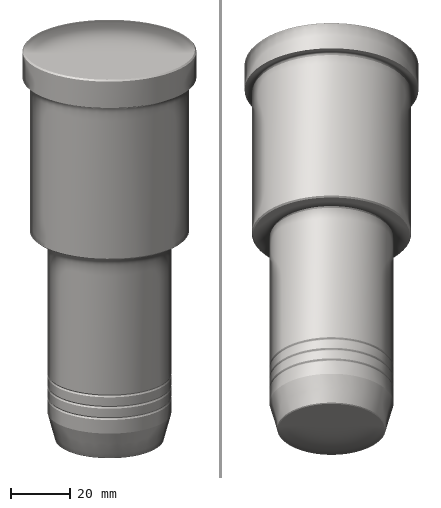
import cadquery as cq
import math

total_height = 141.0
flange_height = 10.0
body_height = 56.0
nose_height = 10.0
body_top = total_height - flange_height
body_bottom = body_top - body_height

flange_radius = 29.5
body_diameter = 54.0
body_radius = body_diameter / 2
pin_radius = 21.0
nose_tip_radius = 18.3

flange_chamfer = 0.5
body_chamfer = 0.5
tip_chamfer = 0.3

body_relief_height = 1.3
body_relief_fillet = 0.4
body_relief_depth = 0.5
pin_relief_height = 1.0
pin_relief_depth = 0.5

groove_count = 3
first_groove_bottom = 15.0
groove_pitch = 4.1
groove_width = 1.0
groove_depth = 0.35


def disc(radius, bottom, top):
    """Cylinder about the Z axis between two heights."""
    return cq.Workplane("XY").workplane(offset=bottom).circle(radius).extrude(top - bottom)


def ring_cut(outer_radius, depth, bottom, height):
    """Ring that removes the given depth from a cylinder's surface."""
    ring = cq.Workplane("XY").workplane(offset=bottom).circle(outer_radius)
    return ring.circle(outer_radius - depth).extrude(height)


def make_nose():
    """Cone that widens from the tip to the pin, with a broken tip edge."""
    cone = (
        cq.Workplane("XZ")
        .polyline([(0, 0), (nose_tip_radius, 0), (pin_radius, nose_height), (0, nose_height)])
        .close()
        .revolve(360, (0, 0, 0), (0, 1, 0))
    )
    return cone.faces("<Z").edges().chamfer(tip_chamfer)


def make_groove(bottom):
    """V-shaped ring that cuts a groove into the pin surface."""
    middle = bottom + groove_width / 2
    top = bottom + groove_width
    return (
        cq.Workplane("XZ")
        .polyline([(pin_radius, bottom), (pin_radius - groove_depth, middle), (pin_radius, top)])
        .close()
        .revolve(360, (0, 0, 0), (0, 1, 0))
    )


def make_pin():
    """Slender cylinder with ring grooves and an undercut at the shoulder."""
    pin = disc(pin_radius, nose_height, body_bottom)
    for index in range(groove_count):
        pin = pin.cut(make_groove(first_groove_bottom + index * groove_pitch))
    relief_bottom = body_bottom - pin_relief_height
    return pin.cut(ring_cut(pin_radius, pin_relief_depth, relief_bottom, pin_relief_height))


def make_body():
    """Thick cylinder with a chamfered lower edge and a filleted undercut below the flange."""
    relief_radius = body_radius - body_relief_depth
    relief_bottom = body_top - body_relief_height
    fillet_bottom = body_top - body_relief_fillet
    diagonal_gap = body_relief_fillet * (1 - math.sqrt(0.5))
    return (
        cq.Workplane("XZ")
        .moveTo(0, body_bottom)
        .lineTo(body_radius - body_chamfer, body_bottom)
        .lineTo(body_radius, body_bottom + body_chamfer)
        .lineTo(body_radius, relief_bottom)
        .lineTo(relief_radius, relief_bottom)
        .lineTo(relief_radius, fillet_bottom)
        .threePointArc(
            (relief_radius + diagonal_gap, body_top - diagonal_gap),
            (relief_radius + body_relief_fillet, body_top),
        )
        .lineTo(0, body_top)
        .close()
        .revolve(360, (0, 0, 0), (0, 1, 0))
    )


def make_flange():
    """Head disc with a chamfered top edge."""
    return disc(flange_radius, body_top, total_height).faces(">Z").edges().chamfer(flange_chamfer)


result = make_nose().union(make_pin()).union(make_body()).union(make_flange())